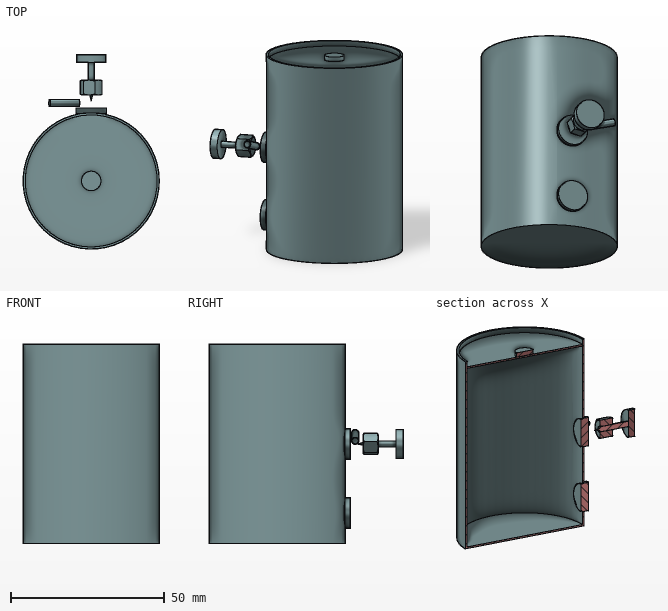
import cadquery as cq
import math

HEIGHT = 65.0
SHELL_DIA = 44.45
BORE_DIA = 43.0
WALL = (SHELL_DIA - BORE_DIA) / 2

LID_DEPTH = 1.75
LID_THICKNESS = WALL
LID_TOP = HEIGHT - LID_DEPTH
BUTTON_DIA = 6.4
BUTTON_HEIGHT = 1.5

VALVE_Z = 32.5
CAP_HEIGHTS = (10.0, VALVE_Z)
CAP_DIA = 10.0
CAP_FRONT_Y = 23.85
CAP_BACK_Y = 22.05
NECK_DIA = 9.55
NECK_END_Y = 20.9

WHEEL_DIA = 9.55
WHEEL_THICKNESS = 2.5
WHEEL_FRONT_Y = 41.15
WHEEL_BACK_Y = WHEEL_FRONT_Y - WHEEL_THICKNESS
STEM_DIA = 2.0
NEEDLE_DIA = 0.9
NEEDLE_TIP_Y = 26.05
NUT_FRONT_Y = 32.95
NUT_BACK_Y = 27.95
NUT_FLATS = 6.4
NUT_TURN = 11.5
NUT_CHAMFER_DIA = 6.0
NUT_CHAMFER_LENGTH = 0.4

PIPE_DIA = 2.4
PIPE_BORE = 2.0
PIPE_LENGTH = 9.9
PIPE_TILT = 15.0
PIPE_CENTER = (-8.8, 25.4, 34.8)


def y_cylinder(diameter, start_y, end_y, z):
    """Cylinder along Y, centred on X = 0 at height z."""
    plane = cq.Plane(origin=(0, start_y, z), xDir=(1, 0, 0), normal=(0, 1, 0))
    return cq.Workplane(plane).circle(diameter / 2).extrude(end_y - start_y)


def make_cap(z):
    flange = y_cylinder(CAP_DIA, CAP_BACK_Y, CAP_FRONT_Y, z)
    neck = y_cylinder(NECK_DIA, NECK_END_Y, CAP_BACK_Y, z)
    return flange.union(neck)


def make_shell(caps):
    shell = cq.Workplane("XY").circle(SHELL_DIA / 2).extrude(HEIGHT)
    cavity = cq.Workplane("XY").workplane(offset=WALL).circle(BORE_DIA / 2).extrude(HEIGHT)
    shell = shell.cut(cavity)
    for cap in caps:
        shell = shell.cut(cap)
    return shell


def make_lid():
    base = cq.Workplane("XY").workplane(offset=LID_TOP - LID_THICKNESS)
    return base.circle(BORE_DIA / 2).extrude(LID_THICKNESS)


def make_button():
    base = cq.Workplane("XY").workplane(offset=LID_TOP)
    return base.circle(BUTTON_DIA / 2).extrude(BUTTON_HEIGHT)


def make_wheel():
    return y_cylinder(WHEEL_DIA, WHEEL_BACK_Y, WHEEL_FRONT_Y, VALVE_Z)


def make_stem():
    """Round stem through the nut, ending in a conical needle."""
    profile = (
        cq.Workplane("XY", origin=(0, 0, VALVE_Z))
        .moveTo(0, WHEEL_BACK_Y)
        .lineTo(STEM_DIA / 2, WHEEL_BACK_Y)
        .lineTo(STEM_DIA / 2, NUT_BACK_Y)
        .lineTo(NEEDLE_DIA / 2, NUT_BACK_Y)
        .lineTo(0, NEEDLE_TIP_Y)
        .close()
    )
    return profile.revolve(360, (0, 0, 0), (0, 1, 0))


def make_nut():
    """Hexagonal nut with its corners turned down to a cone at both ends."""
    corner_dia = NUT_FLATS / math.cos(math.radians(30))
    length = NUT_FRONT_Y - NUT_BACK_Y
    plane = cq.Plane(origin=(0, NUT_BACK_Y, VALVE_Z), xDir=(1, 0, 0), normal=(0, 1, 0))
    hexagon = cq.Workplane(plane).polygon(6, corner_dia).extrude(length)
    hexagon = hexagon.rotate((0, 0, VALVE_Z), (0, 1, VALVE_Z), -NUT_TURN)
    envelope = y_cylinder(corner_dia, NUT_BACK_Y, NUT_FRONT_Y, VALVE_Z)
    chamfer_width = (corner_dia - NUT_CHAMFER_DIA) / 2
    envelope = envelope.faces("<Y or >Y").chamfer(NUT_CHAMFER_LENGTH, chamfer_width)
    bore = y_cylinder(STEM_DIA, NUT_BACK_Y, NUT_FRONT_Y, VALVE_Z)
    return hexagon.intersect(envelope).cut(bore)


def make_pipe():
    pipe = (
        cq.Workplane("YZ", origin=(-PIPE_LENGTH / 2, 0, 0))
        .circle(PIPE_DIA / 2)
        .circle(PIPE_BORE / 2)
        .extrude(PIPE_LENGTH)
    )
    return pipe.rotate((0, 0, 0), (0, 1, 0), PIPE_TILT).translate(PIPE_CENTER)


port_caps = [make_cap(z) for z in CAP_HEIGHTS]
shell = make_shell(port_caps)
lid = make_lid()
button = make_button()
wheel = make_wheel()
stem = make_stem()
nut = make_nut()
pipe = make_pipe()

result = cq.Compound.makeCompound([
    shell.solids().val(),
    lid.val(),
    button.val(),
    *[cap.solids().val() for cap in port_caps],
    wheel.val(),
    stem.val(),
    nut.solids().val(),
    pipe.solids().val(),
])